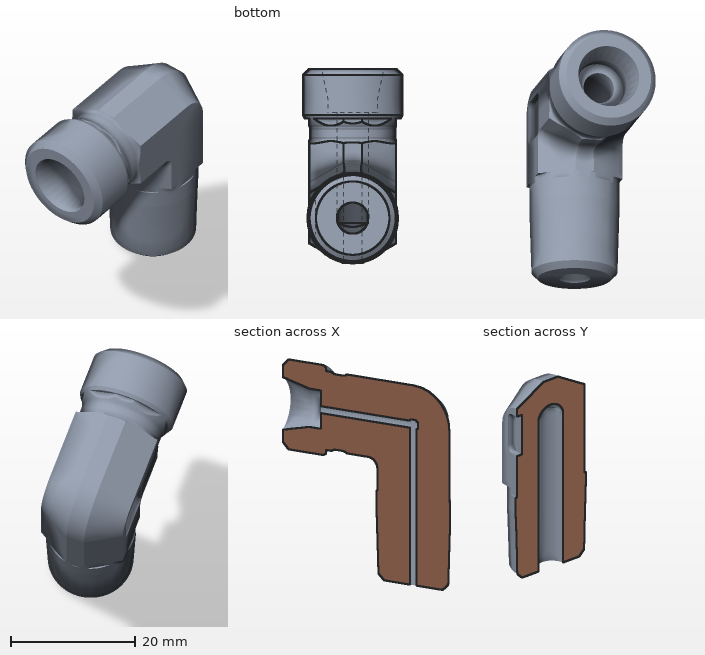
import cadquery as cq
import math


across_flats = 14.0
corner_cut = 7.2
inner_fillet = 2.0
void_reach = 21.0

tube_end = 24.0
collar_radius = 16.0 / 2
collar_chamfer = 1.0
collar_back = 16.0
neck_radius = 13.7 / 2
neck_fillet = 0.9
neck_start = 12.9
neck_end = 14.3
runout_fillet = 1.0
runout_angle = math.radians(30)
groove_clearance = 0.35

overall_height = 35.0
stud_radius = 14.52 / 2
stud_bottom = collar_radius - overall_height
stud_chamfer = 1.0
taper_top = -15.0
taper = 1 / 16
body_bottom = -11.0
turned_bottom = -12.0

bore_radius = 5.0 / 2
bore_overrun = 0.77
drill_half_angle = math.radians(59)
socket_radius = 8.0 / 2
socket_depth = 7.0
seat_radius = 10.05 / 2
seat_half_angle = math.radians(12)

panel_center = -0.98
panel_size = 7.07
panel_corner = 1.0
panel_depth = 1.0

hex_lean = math.radians(30)
half_width = across_flats / 2
side_corner = half_width * math.tan(hex_lean)
hexagon_corner = half_width / math.cos(hex_lean)
cut_half_width = (hexagon_corner - corner_cut) / math.tan(hex_lean)

half_section = [
    (half_width, side_corner),
    (cut_half_width, corner_cut),
    (-cut_half_width, corner_cut),
    (-half_width, side_corner),
]
full_section = half_section + [(-x, -v) for x, v in half_section]


def section_down(length):
    """Body section extruded from the origin down the stud axis."""
    return cq.Workplane("XY").polyline(full_section).close().extrude(-length)


def section_forward(length):
    """Body section extruded from the origin along the tube axis, toward -Y."""
    return cq.Workplane("XZ").polyline(full_section).close().extrude(length)


def miter_void(face_tilt, face_distance):
    """Open space in front of one pair of mitered inner faces, its valley rounded.

    The pair leans sideways by face_tilt and lies face_distance from the arm axes.
    """
    down_face = cq.Vector(math.sin(face_tilt), -math.cos(face_tilt), 0)
    forward_face = cq.Vector(math.sin(face_tilt), 0, -math.cos(face_tilt))
    valley_offset = -face_distance / math.cos(face_tilt)
    plane = cq.Plane(
        origin=(0, valley_offset, valley_offset),
        xDir=down_face + forward_face,
        normal=down_face.cross(forward_face),
    )
    half_opening = (math.pi - down_face.getAngle(forward_face)) / 2
    half_mouth = void_reach * math.tan(half_opening)
    wedge = (
        cq.Workplane(plane)
        .polyline([(0, 0), (void_reach, -half_mouth), (void_reach, half_mouth)])
        .close()
        .extrude(void_reach, both=True)
    )
    valley = cq.selectors.NearestToPointSelector((0, valley_offset, valley_offset))
    return wedge.edges(valley).fillet(inner_fillet)


def make_inner_web():
    """Material in the inside corner of the elbow, bounded by the three rounded valleys."""
    depth = corner_cut + inner_fillet
    web = cq.Workplane("XY").box(across_flats, depth, depth).translate((0, -depth / 2, -depth / 2))
    for face_tilt, face_distance in [(0, corner_cut), (hex_lean, half_width), (-hex_lean, half_width)]:
        web = web.cut(miter_void(face_tilt, face_distance))
    return web


def make_elbow():
    """Both arms, joined by a round outer corner and a rounded inside corner."""
    outer_corner = (
        cq.Workplane("XY")
        .polyline([(half_width, 0)] + half_section + [(-half_width, 0)])
        .close()
        .revolve(360, (0, 0, 0), (1, 0, 0))
    )
    arms = section_down(-body_bottom).union(section_forward(collar_back))
    return arms.union(outer_corner).union(make_inner_web())


def make_neck_groove():
    """Space around the neck: rounded toward the elbow, coned out through the collar's back edge."""
    outer_radius = hexagon_corner + groove_clearance
    cone_start_radius = neck_radius + runout_fillet * (1 - math.cos(runout_angle))
    cone_start = neck_end + runout_fillet * math.sin(runout_angle)
    cone_end = cone_start + (outer_radius - cone_start_radius) / math.tan(runout_angle)
    eighth_turn = math.radians(45)
    fillet_middle = (
        neck_radius + neck_fillet * (1 - math.cos(eighth_turn)),
        -neck_start + neck_fillet * math.sin(eighth_turn),
    )
    runout_middle = (
        neck_radius + runout_fillet * (1 - math.cos(runout_angle / 2)),
        -neck_end - runout_fillet * math.sin(runout_angle / 2),
    )
    return (
        cq.Workplane("XY")
        .moveTo(outer_radius, -neck_start + neck_fillet)
        .lineTo(neck_radius + neck_fillet, -neck_start + neck_fillet)
        .threePointArc(fillet_middle, (neck_radius, -neck_start))
        .lineTo(neck_radius, -neck_end)
        .threePointArc(runout_middle, (cone_start_radius, -cone_start))
        .lineTo(outer_radius, -cone_end)
        .close()
        .revolve(360, (0, 0, 0), (0, 1, 0))
    )


def make_collar():
    """Plain collar with a chamfered front edge."""
    return (
        cq.Workplane("XZ")
        .workplane(offset=collar_back)
        .circle(collar_radius)
        .extrude(tube_end - collar_back)
        .faces("<Y")
        .chamfer(collar_chamfer)
    )


def make_stud():
    """Turned-down section corners, a short cylinder, then the tapered thread."""
    turned_corners = section_down(-turned_bottom).intersect(
        cq.Workplane("XY").circle(stud_radius).extrude(turned_bottom)
    )
    chamfer_top = stud_bottom + stud_chamfer
    tip_radius = stud_radius - (taper_top - chamfer_top) * taper / 2
    thread = (
        cq.Workplane("XZ")
        .moveTo(0, turned_bottom)
        .lineTo(stud_radius, turned_bottom)
        .lineTo(stud_radius, taper_top)
        .lineTo(tip_radius, chamfer_top)
        .lineTo(tip_radius - stud_chamfer, stud_bottom)
        .lineTo(0, stud_bottom)
        .close()
        .revolve(360, (0, 0, 0), (0, 1, 0))
    )
    return turned_corners.union(thread)


def drilled_bore(length):
    """Bore along +Z that starts at -length and ends past the origin in a drill tip."""
    tip_height = bore_radius / math.tan(drill_half_angle)
    return (
        cq.Workplane("XZ")
        .moveTo(0, -length)
        .lineTo(bore_radius, -length)
        .lineTo(bore_radius, bore_overrun)
        .lineTo(0, bore_overrun + tip_height)
        .close()
        .revolve(360, (0, 0, 0), (0, 1, 0))
    )


def make_tube_socket():
    """Conical tube seat followed by a straight socket."""
    seat_end = tube_end - (seat_radius - socket_radius) / math.tan(seat_half_angle)
    socket_end = tube_end - socket_depth
    return (
        cq.Workplane("XY")
        .moveTo(0, -tube_end)
        .lineTo(seat_radius, -tube_end)
        .lineTo(socket_radius, -seat_end)
        .lineTo(socket_radius, -socket_end)
        .lineTo(0, -socket_end)
        .close()
        .revolve(360, (0, 0, 0), (0, 1, 0))
    )


def make_badge_panel():
    """Shallow rounded square sunk into the flat on the -X side."""
    return (
        cq.Workplane("XY")
        .box(panel_depth, panel_size, panel_size)
        .edges("|X")
        .fillet(panel_corner)
        .translate((-half_width + panel_depth / 2, panel_center, panel_center))
    )


stud_bore = drilled_bore(-stud_bottom)
tube_bore = drilled_bore(tube_end).rotate((0, 0, 0), (1, 0, 0), -90)

result = (
    make_elbow()
    .union(make_collar())
    .cut(make_neck_groove())
    .union(make_stud())
    .cut(stud_bore)
    .cut(tube_bore)
    .cut(make_tube_socket())
    .cut(make_badge_panel())
    .clean()
)